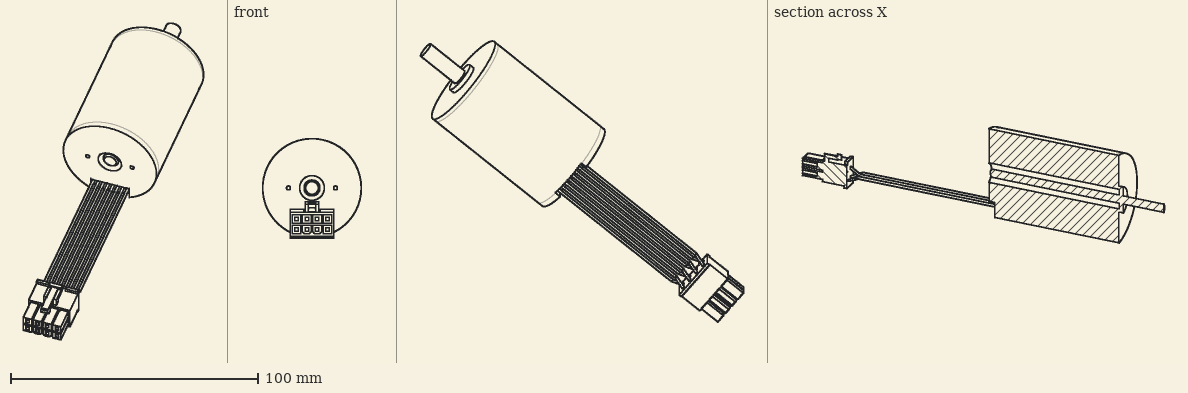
import cadquery as cq


motor_radius = 20.0
motor_length = 58.0
front_cap_thickness = 1.5
rear_cap_thickness = 2.5
boss_radius = 6.5
boss_height = 2.0
shaft_radius = 3.2
shaft_overhang = 20.0
shaft_end_chamfer = 0.6
shaft_recess = 0.5
bore_radius = 5.0
screw_hole_radius = 0.8
screw_hole_offset = 9.5

wire_count = 8
wire_radius = 0.58
wire_pitch = 2.1
cable_height = -14.7
wire_bend = -58.5
notch_top = -13.0
notch_side_clearance = 0.3

columns = 4
rows = 2
cell_pitch = 4.2
socket_width = 3.5
socket_bore = 1.5
socket_bore_depth = 6.5
socket_key_chamfer = 0.8
keyed_columns = (1, 2)
plug_back = -63.3
plug_tip = -83.1
plug_body_length = 11.0
plug_width = 17.7
plug_height = 9.7
flange_thickness = 1.3
flange_top_lip = 1.1
flange_bottom_lip = 0.8
flange_gap = 6.8

latch_width = 5.5
latch_pad_top = 4.2
latch_pad_bottom = 1.8
latch_wide_top = 3.2
latch_arm_width = 2.9
latch_arm_top = 3.7
latch_arm_bottom = 1.5
latch_pad_setback = 2.4
latch_pad_length = 1.8
latch_post_setback = 8.0
latch_post_length = 2.0
latch_tip_setback = 17.0
latch_tip_chamfer = 0.5
hook_length = 3.0
hook_bottom = 0.2
hook_lead = 1.6

plug_front = plug_back - plug_body_length
plug_top = cable_height + plug_height / 2
plug_bottom = cable_height - plug_height / 2


def centred(index, count, pitch):
    """Offset of one item in a row of evenly spaced items centred on zero."""
    return (index - (count - 1) / 2) * pitch


def disc(radius, start, length, x=0.0, z=0.0):
    """Cylinder about a line parallel to Y that runs along +Y from Y = start."""
    return cq.Workplane("XZ", origin=(x, start, z)).circle(radius).extrude(-length)


def block(width, bottom, top, front, back, x=0.0):
    """Box from Y = front to Y = back and Z = bottom to Z = top, centred on x."""
    return cq.Workplane("XY").box(width, back - front, top - bottom).translate(
        (x, (front + back) / 2, (bottom + top) / 2)
    )


def make_housing():
    """Rear cap, can and front cap flush with each other, with the boss in front."""
    can_length = motor_length - rear_cap_thickness - front_cap_thickness
    rear_cap = disc(motor_radius, 0, rear_cap_thickness)
    can = disc(motor_radius, rear_cap_thickness, can_length)
    front_cap = disc(motor_radius, motor_length - front_cap_thickness, front_cap_thickness)
    boss = disc(boss_radius, motor_length, boss_height)

    housing = can.union(rear_cap, clean=False).union(front_cap, clean=False).union(boss, clean=False)
    return housing.cut(disc(bore_radius, 0, motor_length), clean=False)


def make_motor():
    motor = make_housing()

    for side in (-1, 1):
        screw_hole = disc(screw_hole_radius, 0, rear_cap_thickness, x=side * screw_hole_offset)
        motor = motor.cut(screw_hole, clean=False)

    cable_width = (wire_count - 1) * wire_pitch + 2 * wire_radius
    notch_width = cable_width + 2 * notch_side_clearance
    notch = block(notch_width, -motor_radius, notch_top, 0, rear_cap_thickness)
    motor = motor.cut(notch, clean=False)

    shaft_length = motor_length + shaft_overhang - shaft_recess
    shaft = disc(shaft_radius, shaft_recess, shaft_length).faces("<Y").chamfer(shaft_end_chamfer)
    return motor.union(shaft, clean=False)


def make_wire(index):
    """Straight run from the can to the bend, then a slanted run to one cell of the plug."""
    x = centred(index, wire_count, wire_pitch)
    cell_x = centred(index // rows, columns, cell_pitch)
    cell_z = cable_height + centred(index % rows, rows, cell_pitch)

    straight = disc(wire_radius, wire_bend, rear_cap_thickness - wire_bend, x, cable_height)
    along_y = cq.Vector(0, 1, 0)
    bend_end = cq.Wire.makeCircle(wire_radius, cq.Vector(x, wire_bend, cable_height), along_y)
    plug_end = cq.Wire.makeCircle(wire_radius, cq.Vector(cell_x, plug_back, cell_z), along_y)
    slanted = cq.Solid.makeLoft([bend_end, plug_end], True)
    return straight.union(cq.Workplane(slanted))


def make_plug_body():
    """Block with a flange around its back end; the top lip is open in the middle."""
    flange_front = plug_back - flange_thickness
    flange_top = plug_top + flange_top_lip
    body = block(plug_width, plug_bottom, plug_top, plug_front, plug_back)
    flange = block(plug_width, plug_bottom - flange_bottom_lip, flange_top, flange_front, plug_back)
    gap = block(flange_gap, plug_top, flange_top, flange_front, plug_back)
    return body.union(flange.cut(gap))


def latch_profile(points, width):
    """Plate cut to a side outline given as (setback, height) points."""
    outline = [(plug_back - setback, plug_top + height) for setback, height in points]
    return cq.Workplane("YZ").polyline(outline).close().extrude(width / 2, both=True)


def make_latch():
    """Wide rear lever on a post, and a narrower arm that reaches forward to a hook."""
    pad_front = latch_pad_setback + latch_pad_length
    post_front = latch_post_setback + latch_post_length
    lever = latch_profile(
        [
            (latch_pad_setback, latch_pad_top),
            (pad_front, latch_pad_top),
            (pad_front, latch_wide_top),
            (post_front, latch_wide_top),
            (post_front, 0),
            (latch_post_setback, 0),
            (latch_post_setback, latch_arm_bottom),
            (pad_front, latch_arm_bottom),
            (pad_front, latch_pad_bottom),
            (latch_pad_setback, latch_pad_bottom),
        ],
        latch_width,
    )

    hook_back = latch_tip_setback - hook_length
    arm = latch_profile(
        [
            (pad_front, latch_arm_top),
            (latch_tip_setback - latch_tip_chamfer, latch_arm_top),
            (latch_tip_setback, latch_arm_top - latch_tip_chamfer),
            (latch_tip_setback, hook_bottom + hook_lead),
            (latch_tip_setback - hook_lead, hook_bottom),
            (hook_back, hook_bottom),
            (hook_back, latch_arm_bottom),
            (pad_front, latch_arm_bottom),
        ],
        latch_arm_width,
    )
    return lever.union(arm)


def make_socket(column, row):
    """Square tube in front of the plug body, with cut bottom corners where it is keyed."""
    x = centred(column, columns, cell_pitch)
    z = cable_height + centred(row, rows, cell_pitch)
    half_width = socket_width / 2
    half_bore = socket_bore / 2
    socket = block(socket_width, z - half_width, z + half_width, plug_tip, plug_front, x)
    if row == 0 and column in keyed_columns:
        socket = socket.edges("|Y and <Z").chamfer(socket_key_chamfer)
    bore = block(socket_bore, z - half_bore, z + half_bore, plug_tip, plug_tip + socket_bore_depth, x)
    return socket.cut(bore)


def make_plug():
    plug = make_plug_body().union(make_latch())
    for column in range(columns):
        for row in range(rows):
            plug = plug.union(make_socket(column, row))
    return plug


motor = make_motor()
wires = [make_wire(index) for index in range(wire_count)]
plug = make_plug()

result = cq.Compound.makeCompound([motor.val(), *[wire.val() for wire in wires], plug.val()])